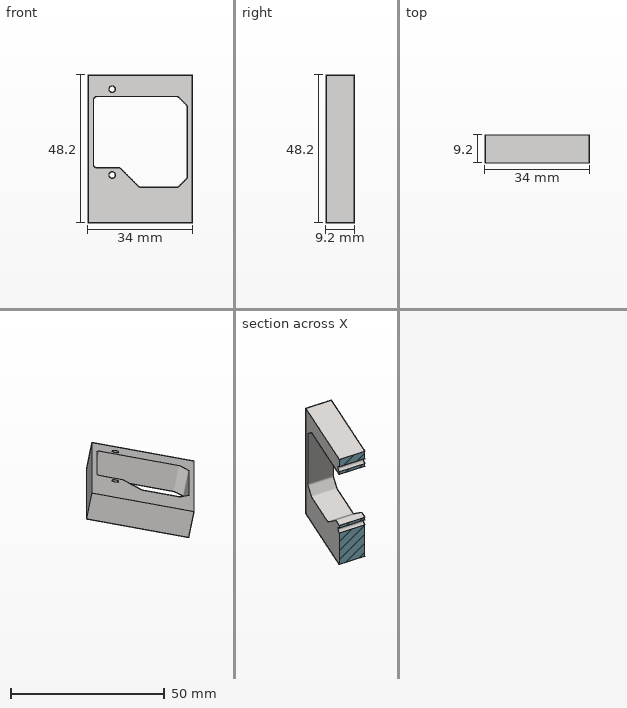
import cadquery as cq

width = 34.0
depth = 9.2
height = 48.2

side_wall = 1.75
window_left = side_wall
window_right = width - side_wall
window_top = 41.15
window_bottom = 11.65
ledge_height = 18.05
ledge_end = 10.3
corner_cut = 2.95
corner_radius = 1.0

hole_diameter = 2.02
hole_x = 7.8
hole_heights = (15.6, 43.6)


def make_window():
    """Window prism with a raised ledge at lower left and two cut right corners."""
    ramp_end = ledge_end + ledge_height - window_bottom
    outline = [
        (window_left, window_top),
        (window_right - corner_cut, window_top),
        (window_right, window_top - corner_cut),
        (window_right, window_bottom + corner_cut),
        (window_right - corner_cut, window_bottom),
        (ramp_end, window_bottom),
        (ledge_end, ledge_height),
        (window_left, ledge_height),
    ]
    prism = cq.Workplane("XZ").polyline(outline).close().extrude(-depth)
    return prism.edges("|Y").fillet(corner_radius)


def make_holes():
    """Round holes running through the full depth."""
    centers = [(hole_x, z) for z in hole_heights]
    return cq.Workplane("XZ").pushPoints(centers).circle(hole_diameter / 2).extrude(-depth)


block = cq.Workplane("XY").box(width, depth, height, centered=False)
result = block.cut(make_window()).cut(make_holes())